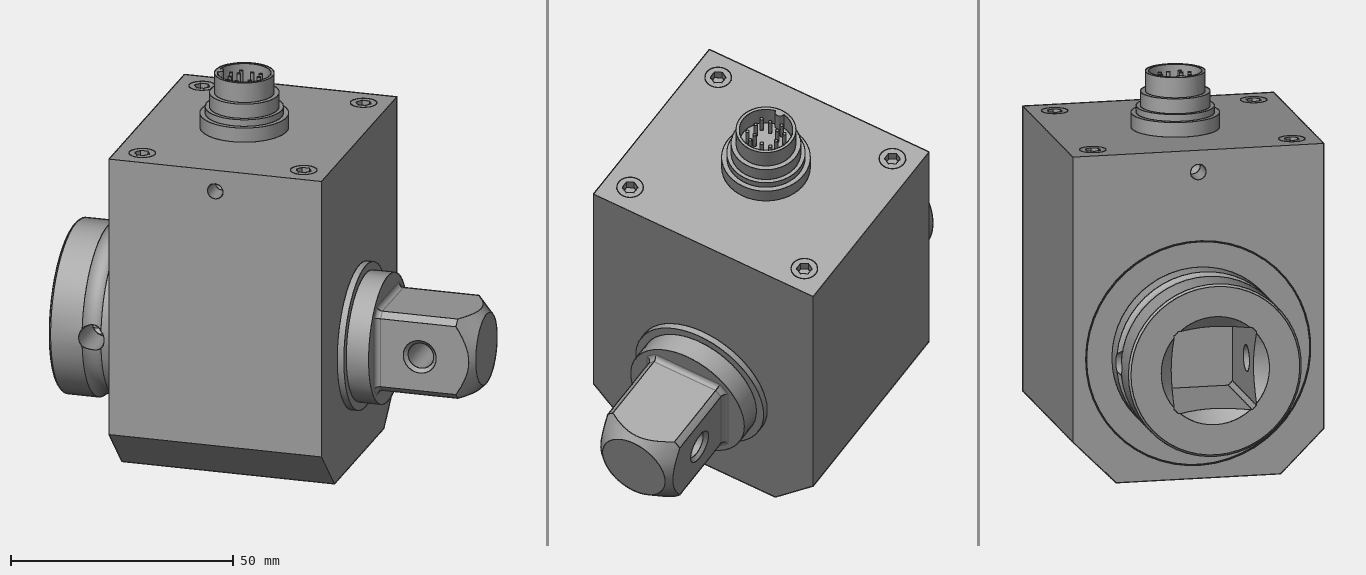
import cadquery as cq
import math


overall_length = 97

housing_length = 50.1
housing_width = 58.0
axis_to_top = 47.0
axis_to_bottom = 29.0
bottom_chamfer = 10.0
housing_mid_x = housing_length / 2

clearance_depth = 0.5

square_size = 19.0
drive_circle_diameter = 25.0
drive_circle_radius = drive_circle_diameter / 2
cross_hole_diameter = 6.0

socket_diameter = 40.0
socket_length = 17.0
socket_rim_chamfer = 0.5
socket_square_chamfer = 1
socket_depth = 24.0
groove_to_mouth = 10.1
groove_radius = 3.0
groove_depth = 1
mouth_x = -socket_length
groove_x = mouth_x + groove_to_mouth

cover_bore_diameter = 52.0
cover_diameter = 51.6

collar_diameter = 33.8
collar_length = 1.6
shoulder_diameter = 30.0
shoulder_length = 5.2
square_length = overall_length - socket_length - housing_length - collar_length - shoulder_length
tip_chamfer = 4.3
root_fillet = 1.2
pin_hole_to_tip = 12.8
pin_hole_chamfer = 0.9
shoulder_x = housing_length + collar_length + shoulder_length
tip_x = shoulder_x + square_length

connector_offset = 2.0
connector_x = housing_mid_x - connector_offset
connector_steps = [(20.0, 3.4), (17.7, 1.6), (15.7, 3.4), (13.5, 4.7)]
connector_top = axis_to_top + sum(height for _, height in connector_steps)
connector_bore_diameter = 12.0
connector_bore_depth = connector_steps[-1][1]
key_diameter = 2.2
contact_diameter = 0.77
contact_recess = 1
contact_pattern_turn = 45
contact_rings = [
    (4.2, [0, 72, 108]),
    (3.3, [-30, 30]),
    (2.6, [90]),
]

screw_spacing_x = 38.0
screw_spacing_y = 46.0
screw_bore_diameter = 6.0
screw_head_diameter = 5.9
hex_corner_diameter = 3.5
hex_depth = 1.9

drill_diameter = 3.6
drill_depth = 5.8
drill_below_top = 5.0
drill_point_angle = 118
drill_z = axis_to_top - drill_below_top


def x_cylinder(start_x, diameter, length):
    """Cylinder on the shaft axis running towards +X."""
    return cq.Workplane("YZ", origin=(start_x, 0, 0)).circle(diameter / 2).extrude(length)


def square_bar(start_x, length, corner_chamfer=0):
    """Square bar on the shaft axis running towards +X."""
    bar = cq.Workplane("YZ", origin=(start_x, 0, 0)).rect(square_size, square_size).extrude(length)
    return bar.edges("|X").chamfer(corner_chamfer) if corner_chamfer else bar


def y_cylinder(x, diameter):
    """Cylinder along Y through the full width of the part at the shaft height."""
    plane = cq.Workplane("XZ", origin=(x, 0, 0))
    return plane.circle(diameter / 2).extrude(housing_width / 2, both=True)


def z_cylinder(x, y, bottom_z, diameter, height):
    """Upright cylinder."""
    return cq.Workplane("XY", origin=(x, y, bottom_z)).circle(diameter / 2).extrude(height)


def make_housing():
    block = cq.Workplane("XY").box(
        housing_length,
        housing_width,
        axis_to_top + axis_to_bottom,
    )
    block = block.edges("|X and <Z").chamfer(bottom_chamfer)
    return block.translate((housing_mid_x, 0, (axis_to_top - axis_to_bottom) / 2))


def make_socket_body():
    body = x_cylinder(mouth_x, socket_diameter, socket_length)
    body = body.faces("<X").chamfer(socket_rim_chamfer)
    groove_centre_radius = socket_diameter / 2 + groove_radius - groove_depth
    groove = (
        cq.Workplane("XY")
        .center(groove_x, groove_centre_radius)
        .circle(groove_radius)
        .revolve(360, (0, -groove_centre_radius), (1, -groove_centre_radius))
    )
    return body.cut(groove)


def make_socket_recess():
    square = square_bar(mouth_x, socket_depth, socket_square_chamfer)
    lead_in = (
        cq.Workplane("XY")
        .polyline([(mouth_x, 0), (mouth_x, drive_circle_radius), (mouth_x + drive_circle_radius, 0)])
        .close()
        .revolve(360, (0, 0), (1, 0))
    )
    return square.union(lead_in).union(y_cylinder(groove_x, cross_hole_diameter))


def make_cover_clearance():
    bore = x_cylinder(0, cover_bore_diameter, clearance_depth)
    return bore.cut(x_cylinder(0, cover_diameter, clearance_depth))


def make_drive_end():
    rounded_bar = x_cylinder(shoulder_x, drive_circle_diameter, square_length)
    rounded_bar = rounded_bar.faces(">X").chamfer(tip_chamfer)
    square = square_bar(shoulder_x, square_length).intersect(rounded_bar)
    shoulder = x_cylinder(housing_length + collar_length, shoulder_diameter, shoulder_length)
    root_box = cq.selectors.BoxSelector(
        (shoulder_x - root_fillet / 2, -drive_circle_radius, -drive_circle_radius),
        (shoulder_x + root_fillet / 2, drive_circle_radius, drive_circle_radius),
        boundingbox=True,
    )
    drive = shoulder.union(square).edges(root_box).fillet(root_fillet)
    drive = drive.union(x_cylinder(housing_length, collar_diameter, collar_length))
    return drive.cut(make_pin_hole())


def make_pin_hole():
    """Cross hole through the square, countersunk on both sides."""
    x = tip_x - pin_hole_to_tip
    flat_y = square_size / 2
    hole_radius = cross_hole_diameter / 2
    mouth_radius = hole_radius + pin_hole_chamfer
    hole = y_cylinder(x, cross_hole_diameter)
    for side in (-1, 1):
        countersink = cq.Solid.makeCone(
            mouth_radius,
            hole_radius,
            pin_hole_chamfer,
            pnt=cq.Vector(x, side * flat_y, 0),
            dir=cq.Vector(0, -side, 0),
        )
        hole = hole.union(cq.Workplane(countersink))
    return hole


def make_connector():
    shell = None
    step_z = axis_to_top
    for diameter, height in connector_steps:
        step = z_cylinder(connector_x, 0, step_z, diameter, height)
        shell = step if shell is None else shell.union(step)
        step_z += height

    floor_z = connector_top - connector_bore_depth
    bore = z_cylinder(connector_x, 0, floor_z, connector_bore_diameter, connector_bore_depth)
    key_x = connector_x - connector_bore_diameter / 2
    bore = bore.cut(z_cylinder(key_x, 0, floor_z, key_diameter, connector_bore_depth))
    shell = shell.cut(bore)

    contact_length = connector_bore_depth - contact_recess
    for ring_radius, angles in contact_rings:
        for angle in angles:
            for half_turn in (0, 180):
                turn = math.radians(contact_pattern_turn + angle + half_turn)
                contact_x = connector_x + ring_radius * math.cos(turn)
                contact_y = ring_radius * math.sin(turn)
                contact = z_cylinder(contact_x, contact_y, floor_z, contact_diameter, contact_length)
                shell = shell.union(contact)
    return shell


def make_screw_cuts():
    """Hexagon sockets and the clearance round each flush screw head."""
    top = cq.Workplane("XY", origin=(housing_mid_x, 0, axis_to_top))
    places = top.rarray(screw_spacing_x, screw_spacing_y, 2, 2)
    sockets = places.polygon(6, hex_corner_diameter).extrude(-hex_depth)
    bores = places.circle(screw_bore_diameter / 2).extrude(-clearance_depth)
    heads = places.circle(screw_head_diameter / 2).extrude(-clearance_depth)
    return bores.cut(heads).union(sockets)


def make_drilled_hole(entry, direction):
    """Blind hole with a conical drill point."""
    radius = drill_diameter / 2
    point_length = radius / math.tan(math.radians(drill_point_angle / 2))
    start = cq.Vector(*entry)
    axis = cq.Vector(*direction)
    barrel = cq.Solid.makeCylinder(radius, drill_depth, start, axis)
    point = cq.Solid.makeCone(radius, 0, point_length, start + axis * drill_depth, axis)
    return cq.Workplane(barrel).union(cq.Workplane(point))


result = (
    make_housing()
    .cut(make_cover_clearance())
    .union(make_socket_body())
    .cut(make_socket_recess())
    .union(make_drive_end())
    .union(make_connector())
    .cut(make_screw_cuts())
    .cut(make_drilled_hole((0, 0, drill_z), (1, 0, 0)))
    .cut(make_drilled_hole((housing_mid_x, -housing_width / 2, drill_z), (0, 1, 0)))
)